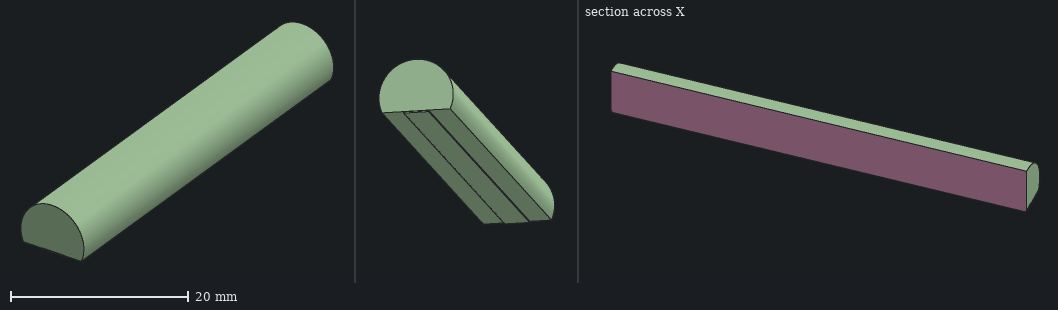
import cadquery as cq

length = 50.0
bar_diameter = 8.65
overall_height = 6.2
strip_width = 2.9
strip_height = 0.15
strip_end_inset = 0.1

bar_radius = bar_diameter / 2
flat_z = bar_radius - overall_height + strip_height
flat_half_width = (bar_radius**2 - flat_z**2) ** 0.5


def make_bar():
    """Round bar along Y with a flat cut along its underside."""
    return (
        cq.Workplane("XZ")
        .moveTo(-flat_half_width, flat_z)
        .threePointArc((0, bar_radius), (flat_half_width, flat_z))
        .close()
        .extrude(length / 2, both=True)
    )


def make_strip():
    """Thin raised strip running along the middle of the flat, stopping just short of both ends."""
    return (
        cq.Workplane("XY", origin=(0, 0, flat_z))
        .rect(strip_width, length - 2 * strip_end_inset)
        .extrude(-strip_height)
    )


result = make_bar().union(make_strip())